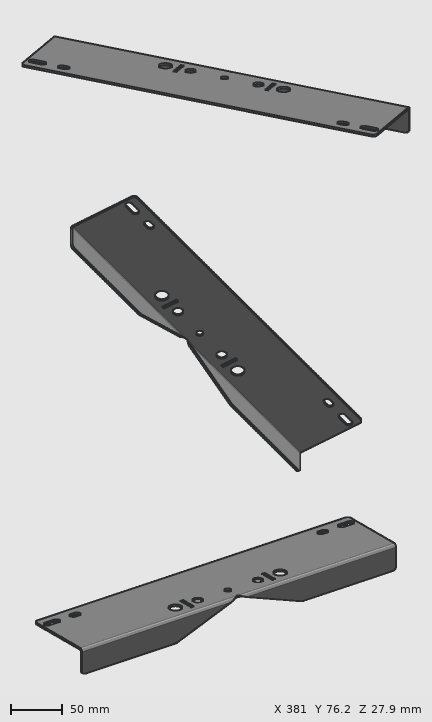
import cadquery as cq

LENGTH = 381.0
DEPTH = 76.2
HEIGHT = 27.94
THICKNESS = 2.286
CORNER_RADIUS = 3.81

INNER_BEND_RADIUS = 0.762
OUTER_BEND_RADIUS = INNER_BEND_RADIUS + THICKNESS

RELIEF_HALF_WIDTH = 76.2
RELIEF_HALF_WIDTH_AT_BEND = 7.7
BEND_ANGLE = 90.0

REAR_ROW_SETBACK = 18.0
CENTRE_HOLE_DIAMETER = 7.14
SMALL_HOLE_DIAMETER = 10.36
SMALL_HOLE_OFFSET = 36.5
LARGE_HOLE_DIAMETER = 13.44
LARGE_HOLE_OFFSET = 63.5
CROSS_SLOT_WIDTH = 3.2
CROSS_SLOT_LENGTH = 17.0
CROSS_SLOT_OFFSET = 49.4

FRONT_ROW_SETBACK = 12.0
MOUNT_SLOT_WIDTH = 7.14
SHORT_SLOT_LENGTH = 11.9
SHORT_SLOT_OFFSET = 150.2
LONG_SLOT_LENGTH = 18.3
LONG_SLOT_OFFSET = 178.4

REAR_Y = DEPTH / 2
FRONT_Y = -DEPTH / 2
BEND_AXIS_Y = REAR_Y - OUTER_BEND_RADIUS
BEND_AXIS_Z = -OUTER_BEND_RADIUS
REAR_ROW_Y = REAR_Y - REAR_ROW_SETBACK
FRONT_ROW_Y = FRONT_Y + FRONT_ROW_SETBACK


def bent_sheet():
    """Web and flange of constant thickness, with rounded free corners."""
    sheet = (
        cq.Workplane("YZ")
        .moveTo(FRONT_Y, 0)
        .lineTo(BEND_AXIS_Y, 0)
        .radiusArc((REAR_Y, BEND_AXIS_Z), OUTER_BEND_RADIUS)
        .lineTo(REAR_Y, -HEIGHT)
        .lineTo(REAR_Y - THICKNESS, -HEIGHT)
        .lineTo(REAR_Y - THICKNESS, BEND_AXIS_Z)
        .radiusArc((BEND_AXIS_Y, -THICKNESS), -INNER_BEND_RADIUS)
        .lineTo(FRONT_Y, -THICKNESS)
        .close()
        .extrude(LENGTH / 2, both=True)
    )
    sheet = sheet.faces("<Y").edges("|Z").fillet(CORNER_RADIUS)
    return sheet.faces("<Z").edges("|Y").fillet(CORNER_RADIUS)


def flange_relief():
    """Trapezoid that removes the middle of the flat part of the flange."""
    return (
        cq.Workplane("XZ", origin=(0, REAR_Y, 0))
        .polyline([
            (-RELIEF_HALF_WIDTH, -HEIGHT),
            (-RELIEF_HALF_WIDTH_AT_BEND, BEND_AXIS_Z),
            (RELIEF_HALF_WIDTH_AT_BEND, BEND_AXIS_Z),
            (RELIEF_HALF_WIDTH, -HEIGHT),
        ])
        .close()
        .extrude(THICKNESS)
    )


def bend_relief():
    """Point of the V, wrapped around the bend by turning a square about the bend axis."""
    cutter_size = 2 * OUTER_BEND_RADIUS
    half = (
        cq.Workplane("YZ", origin=(0, BEND_AXIS_Y, BEND_AXIS_Z))
        .rect(cutter_size, cutter_size, centered=False)
        .twistExtrude(RELIEF_HALF_WIDTH_AT_BEND, -BEND_ANGLE)
    )
    return half.union(half.mirror("YZ"))


def web_cutter(offsets, row_y):
    """Workplane on top of the web with one point at each X offset."""
    return cq.Workplane("XY", origin=(0, row_y, 0)).pushPoints([(x, 0) for x in offsets])


def round_holes(offsets, diameter):
    return web_cutter(offsets, REAR_ROW_Y).circle(diameter / 2).extrude(-THICKNESS)


def cross_slots():
    offsets = (-CROSS_SLOT_OFFSET, CROSS_SLOT_OFFSET)
    return web_cutter(offsets, REAR_ROW_Y).rect(CROSS_SLOT_WIDTH, CROSS_SLOT_LENGTH).extrude(-THICKNESS)


def mounting_slots(offset, length):
    return web_cutter((-offset, offset), FRONT_ROW_Y).slot2D(length, MOUNT_SLOT_WIDTH).extrude(-THICKNESS)


result = (
    bent_sheet()
    .cut(flange_relief())
    .cut(bend_relief())
    .cut(round_holes((0,), CENTRE_HOLE_DIAMETER))
    .cut(round_holes((-SMALL_HOLE_OFFSET, SMALL_HOLE_OFFSET), SMALL_HOLE_DIAMETER))
    .cut(round_holes((-LARGE_HOLE_OFFSET, LARGE_HOLE_OFFSET), LARGE_HOLE_DIAMETER))
    .cut(cross_slots())
    .cut(mounting_slots(SHORT_SLOT_OFFSET, SHORT_SLOT_LENGTH))
    .cut(mounting_slots(LONG_SLOT_OFFSET, LONG_SLOT_LENGTH))
)